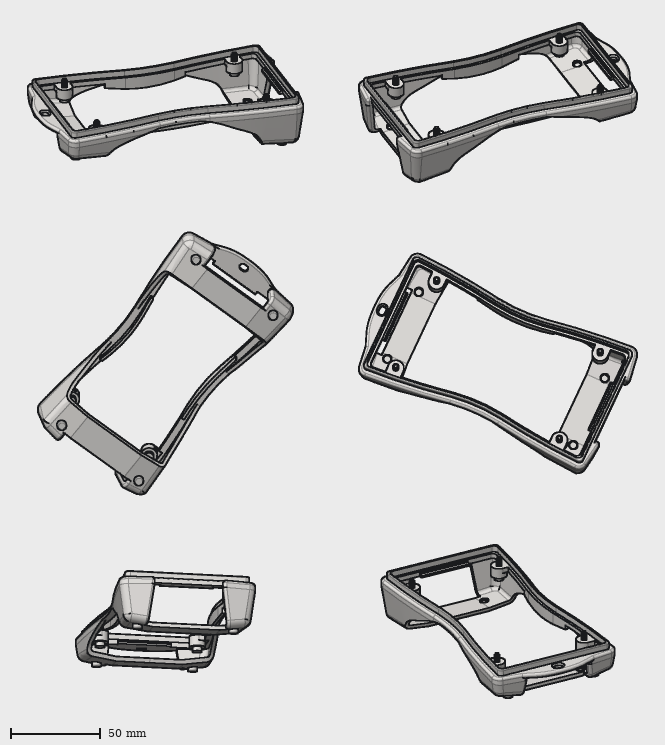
import cadquery as cq
import math

WAIST_HALF_WIDTH = 32.1
WAIST_END = (33.1, 14.6)
FLANK_MID = (36.5, 39.5)
CORNER_START = (38.51, 64.2)
CORNER_MID = (37.4, 67.7)
CORNER_END = (34.5, 69.4)
REAR_LEG_END = (19.5, 71.5)
FRONT_LEG_END = (16.8, -71.5)
LOBE_START = (22.7, -70.8)

FLANGE_DEPTH = 4.3
FLANGE_ROUND = 1.5
RAIL_DEPTH = 3.0
SKIN_DEPTH = 29.5
SIDE_DRAFT = 8.0
END_DRAFT = 5.5
BOTTOM_ROUND = 4.4
SIDE_THICKNESS = 2.2
END_THICKNESS = 3.2

COLLAR_HEIGHT = 3.7
COLLAR_SIDE_INSET = 3.2
COLLAR_HALF_LENGTH = 67.0
COLLAR_CORNER_RADIUS = 2.4
COLLAR_THICKNESS = 1.3
COLLAR_TOP_ROUND = 0.5
LEDGE_WIDTH = 1.6
CAVITY_INSET = COLLAR_THICKNESS + LEDGE_WIDTH
LIP_END_Y = COLLAR_HALF_LENGTH - CAVITY_INSET

FLOOR_TILT = 5.0
FLOOR_BOTTOM = 21.2
FLOOR_THICKNESS = 2.5
FLOOR_FLAT_HALF_WIDTH = 19.0
FLOOR_FLANK_ANGLE = 8.0
FLOOR_INSIDE_ROUND = 2.2

WINDOW_HALF_WIDTH = REAR_LEG_END[0]
WINDOW_FLARE = 0.14
WINDOW_INNER_Y = 62.0
WINDOW_EDGE_ROUND = 1.5
JAMB_OUTER_Y = 68.3
RAIL_REAR_Y = 68.5
TAB_HALF_LENGTH = 15.0
TAB_HEIGHT = 2.0
TAB_BEVEL = 0.9

ARCH_FRONT = [(-48.2, -17.7), (-46.2, -13.7), (-42.4, -10.3), (-38.7, -8.7), (-27.5, -5.6), (-15.2, -3.0)]
ARCH_REAR = [(10.2, -3.0), (20.3, -5.7), (32.3, -11.0), (38.9, -14.0), (43.5, -18.1), (45.2, -21.5), (46.4, -25.8)]
SKIRT_THICKNESS = 1.8
SKIRT_REAR = (21.4, -5.5)
SKIRT_LOWEST = (-2.2, -7.7)
SKIRT_FRONT = (-25.8, -5.6)

LENGTH = 147.3
LEG_SLANT = math.atan2(REAR_LEG_END[1] - CORNER_END[1], CORNER_END[0] - REAR_LEG_END[0])
REAR_REACH = REAR_LEG_END[1] + WINDOW_EDGE_ROUND * (1 - math.tan(LEG_SLANT) - 1 / math.cos(LEG_SLANT))
LOBE_TIP_Y = REAR_REACH - LENGTH
LOBE_SHOULDER = (13.3, -74.4)
LOBE_BOTTOM_ROUND = 1.2
STRAP_HOLE_Y = -70.8
STRAP_HOLE_LENGTH = 5.3
STRAP_HOLE_WIDTH = 3.8
STRAP_HOLE_ROUND = 0.95

FOOT_DIAMETER = 5.3
FOOT_X = 27.2
FOOT_YS = (59.0, -62.5)
FOOT_PROTRUSION = 1.0
FOOT_ROUND = 0.6
RECESS_DIAMETER = 5.0
RECESS_X = 21.2
RECESS_YS = (55.5, -58.3)
RECESS_DEPTH = 0.6
RECESS_EDGE = 0.5

SCREW_X = 27.5
SCREW_Y = 50.0
BOSS_RADIUS = 4.5
BOSS_DEPTH = 6.2
BOSS_ARM_DEPTH = 3.1
BOSS_ARM_END_X = 33.1
THREAD_DIAMETER = 3.2
CORE_DIAMETER = 2.0
HEAD_DIAMETER = 5.3
HEAD_HEIGHT = 2.5
SCREW_TIP_Z = 4.7
THREAD_PITCH = 0.9
THREAD_TURNS = 4

TOLERANCE = 0.001
MARGIN = 88.4


def right_side(wire, inset, end_y):
    """Continue a wire along the waisted +X side, from its front end to its rear end."""
    waist = (WAIST_END[0] - inset, WAIST_END[1])
    mid = (FLANK_MID[0] - inset, FLANK_MID[1])
    return (
        wire.threePointArc((mid[0], -mid[1]), (waist[0], -waist[1]))
        .threePointArc((WAIST_HALF_WIDTH - inset, 0), waist)
        .threePointArc(mid, (CORNER_START[0] - inset, end_y))
    )


def left_side(wire, inset, end_y):
    """Continue a wire along the waisted -X side, from its rear end to its front end."""
    waist = (inset - WAIST_END[0], WAIST_END[1])
    mid = (inset - FLANK_MID[0], FLANK_MID[1])
    return (
        wire.threePointArc(mid, waist)
        .threePointArc((inset - WAIST_HALF_WIDTH, 0), (waist[0], -waist[1]))
        .threePointArc((mid[0], -mid[1]), (inset - CORNER_START[0], -end_y))
    )


def frame_wire(workplane, side_inset=0.0, end_inset=0.0, corner_shift=0.0, lobe=False):
    """Closed outer outline, moved inwards by separate amounts on the sides and the ends."""

    def moved(point):
        return (point[0] - side_inset, point[1] - math.copysign(end_inset, point[1]))

    def mirrored(point):
        return (-point[0], point[1])

    def front(point):
        return (point[0], -point[1])

    start, mid, end = moved(CORNER_START), moved(CORNER_MID), moved(CORNER_END)
    start = (start[0], CORNER_START[1] - corner_shift)
    rear_leg = moved(REAR_LEG_END)
    front_leg = moved(LOBE_START if lobe else FRONT_LEG_END)

    wire = right_side(workplane.moveTo(*front(start)), side_inset, start[1])
    wire = wire.threePointArc(mid, end).lineTo(*rear_leg).lineTo(*mirrored(rear_leg))
    wire = wire.lineTo(*mirrored(end)).threePointArc(mirrored(mid), mirrored(start))
    wire = left_side(wire, side_inset, start[1])
    wire = wire.threePointArc(mirrored(front(mid)), mirrored(front(end))).lineTo(*mirrored(front_leg))
    if lobe:
        wire = wire.spline(
            [mirrored(LOBE_SHOULDER), (0, LOBE_TIP_Y), LOBE_SHOULDER, front_leg],
            tangents=[(1, -0.35), (1, 0.35)],
            includeCurrent=True,
        )
    else:
        wire = wire.lineTo(*front_leg)
    return wire.lineTo(*front(end)).threePointArc(front(mid), front(start)).close()


def opening_plug(inset, bottom, top):
    """Solid with the collar's outline moved inwards by inset, with rounded upright corners."""
    side_inset = COLLAR_SIDE_INSET + inset
    side_x = CORNER_START[0] - side_inset
    end_y = COLLAR_HALF_LENGTH - inset
    wire = cq.Workplane("XY").workplane(offset=bottom).moveTo(side_x, -end_y)
    wire = right_side(wire, side_inset, end_y).lineTo(-side_x, end_y)
    plug = left_side(wire, side_inset, end_y).close().extrude(top - bottom)
    return plug.edges("|Z").edges("<Y or >Y").fillet(COLLAR_CORNER_RADIUS)


def above_floor(height):
    """Space above a floor surface that lies height above the underside of the floor."""
    rise = (MARGIN - FLOOR_FLAT_HALF_WIDTH) * math.tan(math.radians(FLOOR_FLANK_ANGLE))
    return (
        cq.Workplane("XZ")
        .moveTo(-FLOOR_FLAT_HALF_WIDTH, height)
        .lineTo(FLOOR_FLAT_HALF_WIDTH, height)
        .lineTo(MARGIN, height + rise)
        .lineTo(MARGIN, MARGIN)
        .lineTo(-MARGIN, MARGIN)
        .lineTo(-MARGIN, height + rise)
        .close()
        .extrude(MARGIN, both=True)
        .rotate((0, 0, 0), (1, 0, 0), -FLOOR_TILT)
        .translate((0, 0, -FLOOR_BOTTOM))
    )


def on_floor(shape, x, y, height):
    """Place a shape upright on the tilted floor, height above the plane of its underside."""
    z = -FLOOR_BOTTOM - y * math.tan(math.radians(FLOOR_TILT))
    return shape.translate((0, 0, height)).rotate((0, 0, 0), (1, 0, 0), -FLOOR_TILT).translate((x, y, z))


def on_jamb(edge):
    """True for an edge whose middle lies on one of the flared window jambs."""
    middle = edge.positionAt(0.5)
    jamb_x = WINDOW_HALF_WIDTH - WINDOW_FLARE * (middle.z + FLANGE_DEPTH)
    return abs(abs(middle.x) - jamb_x) < TOLERANCE


def on_outer_jamb_line(edge):
    """True for an upright edge on the outer side of a window, above the flare."""
    middle = edge.Center()
    return abs(abs(middle.x) - WINDOW_HALF_WIDTH) < TOLERANCE and abs(middle.y) > JAMB_OUTER_Y


def on_outer_jamb(edge):
    """True for a jamb edge that borders the outer face of an end wall."""
    return on_jamb(edge) and abs(edge.Center().y) > JAMB_OUTER_Y


def on_underside(face):
    """True for a face that looks down, such as the tilted floor faces."""
    return face.normalAt().z < -0.9


def flange_plate():
    """Top plate of the flange with the strap lobe and rounded outer edges."""
    plate = frame_wire(cq.Workplane("XY").workplane(offset=-RAIL_DEPTH), lobe=True).extrude(RAIL_DEPTH)
    plate = plate.cut(window_prism(1, RAIL_REAR_Y, -RAIL_DEPTH, RAIL_DEPTH))
    plate = plate.edges("|Z").edges(">Y").fillet(WINDOW_EDGE_ROUND)
    rail_edge = cq.selectors.BoxSelector((-1.5, RAIL_REAR_Y - 0.1, -0.1), (1.5, RAIL_REAR_Y + 0.1, 0.1))
    plate = plate.faces(">Z").edges(cq.selectors.InverseSelector(rail_edge)).fillet(FLANGE_ROUND)
    return plate.faces("<Z").edges("<Y").fillet(LOBE_BOTTOM_ROUND)


def window_prism(end, inner_y, bottom, height, flare=0.0):
    """Prism of the window's width that runs from inner_y out through one end and widens downwards."""
    half_width = WINDOW_HALF_WIDTH
    foot_half_width = half_width + flare * height
    return (
        cq.Workplane("XZ", origin=(0, end * inner_y, bottom))
        .moveTo(half_width, height)
        .lineTo(foot_half_width, 0)
        .lineTo(-foot_half_width, 0)
        .lineTo(-half_width, height)
        .close()
        .extrude(-end * MARGIN)
    )


def drafted_block(top, side_thickness, end_thickness, floor_height, floor_round):
    """Block with drafted sides that starts at height top and ends on a rounded, tilted floor surface."""
    draft_height = SKIN_DEPTH - FLANGE_DEPTH
    side_inset = side_thickness + draft_height * math.tan(math.radians(SIDE_DRAFT))
    end_inset = end_thickness + draft_height * math.tan(math.radians(END_DRAFT))
    block = frame_wire(cq.Workplane("XY").workplane(offset=top), side_thickness, end_thickness, end_thickness)
    block = block.workplane(offset=-SKIN_DEPTH - top)
    block = frame_wire(block, side_inset, end_inset, end_thickness).loft(ruled=True)
    block = block.intersect(above_floor(floor_height))
    floor = block.faces().filter(on_underside)
    return floor.edges("not %LINE").fillet(floor_round)


def outer_walls():
    """Outer skin below the flange plate, cut open by a window at each end."""
    band_depth = FLANGE_DEPTH - RAIL_DEPTH
    band = frame_wire(cq.Workplane("XY").workplane(offset=-FLANGE_DEPTH)).extrude(band_depth)
    block = drafted_block(-FLANGE_DEPTH, 0, 0, 0, BOTTOM_ROUND)
    draft_height = SKIN_DEPTH - FLANGE_DEPTH
    for end in (1, -1):
        band = band.cut(window_prism(end, WINDOW_INNER_Y, -FLANGE_DEPTH, band_depth))
        block = block.cut(window_prism(end, WINDOW_INNER_Y, -SKIN_DEPTH, draft_height, WINDOW_FLARE))
    band = band.edges("|Z").filter(on_outer_jamb_line).fillet(WINDOW_EDGE_ROUND)
    block = block.edges().filter(on_outer_jamb).fillet(WINDOW_EDGE_ROUND)
    return block.union(band)


def cavity():
    """Inside of the shell below the lip, together with the narrower opening through the lip."""
    space = drafted_block(-RAIL_DEPTH, SIDE_THICKNESS, END_THICKNESS, FLOOR_THICKNESS, FLOOR_INSIDE_ROUND)
    return space.union(opening_plug(CAVITY_INSET, -RAIL_DEPTH, 0))


def arch_cutter():
    """Space below the side arches, running straight through the part along X."""
    return (
        cq.Workplane("YZ")
        .moveTo(ARCH_FRONT[0][0], -MARGIN)
        .lineTo(*ARCH_FRONT[0])
        .spline(ARCH_FRONT[1:], includeCurrent=True)
        .lineTo(*ARCH_REAR[0])
        .spline(ARCH_REAR[1:], includeCurrent=True)
        .lineTo(ARCH_REAR[-1][0], -MARGIN)
        .close()
        .extrude(MARGIN, both=True)
    )


def collar():
    """Raised wall around the top opening."""
    ring = opening_plug(0, 0, COLLAR_HEIGHT).faces(">Z").edges().fillet(COLLAR_TOP_ROUND)
    return ring.cut(opening_plug(COLLAR_THICKNESS, 0, COLLAR_HEIGHT))


def skirt():
    """Thin inner strips that hang below the crowns of the side arches."""
    ring = opening_plug(CAVITY_INSET - SKIRT_THICKNESS, -SKIN_DEPTH, 0)
    ring = ring.cut(opening_plug(CAVITY_INSET, -SKIN_DEPTH, 0))
    profile = (
        cq.Workplane("YZ")
        .moveTo(SKIRT_REAR[0], 0)
        .lineTo(*SKIRT_REAR)
        .threePointArc(SKIRT_LOWEST, SKIRT_FRONT)
        .lineTo(SKIRT_FRONT[0], 0)
        .close()
        .extrude(MARGIN, both=True)
    )
    return ring.intersect(profile)


def latch_tab(end):
    """Latch bar on the inside of one end rail, bevelled along its upper inner edge."""
    depth = LIP_END_Y - WINDOW_INNER_Y
    tab = cq.Workplane("XY").box(2 * TAB_HALF_LENGTH, depth, TAB_HEIGHT)
    tab = tab.faces(">Z").edges("<Y" if end > 0 else ">Y").chamfer(TAB_BEVEL)
    return tab.translate((0, end * (WINDOW_INNER_Y + LIP_END_Y) / 2, TAB_HEIGHT / 2 - RAIL_DEPTH))


def boss(side, end):
    """Round screw boss joined to the side wall by a shallower arm."""
    post = cq.Workplane("XY").circle(BOSS_RADIUS).extrude(-BOSS_DEPTH)
    post = post.translate((side * SCREW_X, end * SCREW_Y, 0))
    arm_length = BOSS_ARM_END_X - SCREW_X
    arm = cq.Workplane("XY").box(arm_length, 2 * BOSS_RADIUS, BOSS_ARM_DEPTH)
    arm = arm.translate((side * (SCREW_X + arm_length / 2), end * SCREW_Y, -BOSS_ARM_DEPTH / 2))
    return post.union(arm)


def foot(side, y):
    """Round foot under a rising flank of the floor."""
    height = FOOT_PROTRUSION + FLOOR_THICKNESS
    post = cq.Workplane("XY").circle(FOOT_DIAMETER / 2).extrude(height)
    post = post.faces("<Z").edges().fillet(FOOT_ROUND)
    return on_floor(post, side * FOOT_X, y, -FOOT_PROTRUSION)


def recess_cutter(side, y):
    """Shallow round recess in the inner face of the floor, narrower at its bottom."""
    height = FLOOR_THICKNESS - RECESS_DEPTH
    tool = cq.Workplane("XY").circle(RECESS_DIAMETER / 2).extrude(RECESS_DEPTH * 3)
    tool = tool.faces("<Z").edges().chamfer(RECESS_EDGE)
    return on_floor(tool, side * RECESS_X, y, height)


def strap_hole_cutter():
    """Oblong hole through the lobe with a flared mouth on top."""
    return (
        cq.Workplane("XY", origin=(0, STRAP_HOLE_Y, 0))
        .slot2D(STRAP_HOLE_LENGTH, STRAP_HOLE_WIDTH)
        .extrude(-RAIL_DEPTH)
        .union(
            cq.Workplane("XY", origin=(0, STRAP_HOLE_Y, 0))
            .slot2D(STRAP_HOLE_LENGTH + 2 * STRAP_HOLE_ROUND, STRAP_HOLE_WIDTH + 2 * STRAP_HOLE_ROUND)
            .extrude(-STRAP_HOLE_ROUND, taper=45)
        )
    )


def make_housing():
    """Whole frame: skin, cavity, arches, windows, collar and the small features."""
    body = outer_walls().union(flange_plate()).cut(cavity()).cut(arch_cutter())
    body = body.union(collar()).union(skirt())
    for end in (1, -1):
        body = body.union(latch_tab(end))
    for side in (1, -1):
        for end in (1, -1):
            body = body.union(boss(side, end))
        for y in FOOT_YS:
            body = body.union(foot(side, y))
        for y in RECESS_YS:
            body = body.cut(recess_cutter(side, y))
    hole = cq.Workplane("XY").pushPoints(SCREW_POINTS).circle(THREAD_DIAMETER / 2).extrude(-BOSS_DEPTH)
    return body.cut(hole).cut(strap_hole_cutter())


def make_screw(x, y):
    """Screw with its head under a boss, a plain shank in the boss and thread ridges above it."""
    crest, core, head = THREAD_DIAMETER / 2, CORE_DIAMETER / 2, HEAD_DIAMETER / 2
    wire = (
        cq.Workplane("XZ")
        .moveTo(0, -BOSS_DEPTH - HEAD_HEIGHT)
        .lineTo(head, -BOSS_DEPTH - HEAD_HEIGHT)
        .lineTo(head, -BOSS_DEPTH)
        .lineTo(crest, -BOSS_DEPTH)
        .lineTo(crest, 0)
    )
    for turn in range(THREAD_TURNS):
        root_z = (turn + 0.5) * THREAD_PITCH
        wire = wire.lineTo(core, root_z)
        wire = wire.lineTo(crest, root_z + THREAD_PITCH / 2)
    wire = wire.lineTo(core, (THREAD_TURNS + 0.5) * THREAD_PITCH)
    wire = wire.lineTo(core, SCREW_TIP_Z).lineTo(0, SCREW_TIP_Z).close()
    return wire.revolve(360, (0, 0, 0), (0, 1, 0)).translate((x, y, 0))


SCREW_POINTS = [(side * SCREW_X, end * SCREW_Y) for side in (1, -1) for end in (1, -1)]

housing = make_housing()
screws = [make_screw(x, y) for x, y in SCREW_POINTS]
result = cq.Compound.makeCompound([housing.val(), *[screw.val() for screw in screws]])